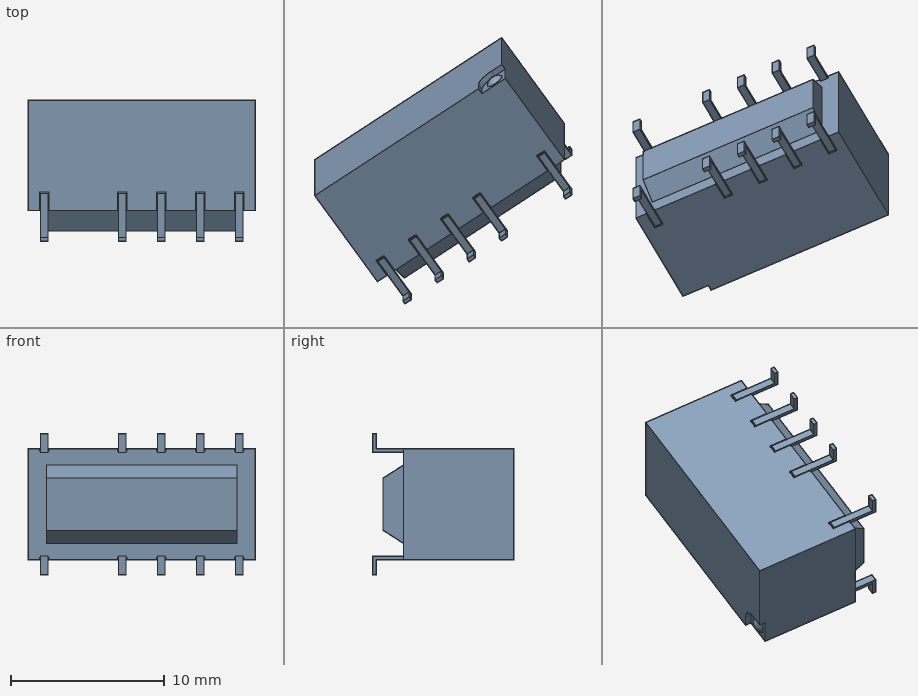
import cadquery as cq

BODY_LENGTH = 14.8
BODY_DEPTH = 7.2
BODY_HEIGHT = 7.25

BAR_LENGTH = 12.4
BAR_PROJECTION = 1.33
BAR_BASE_HEIGHT = 5.1
BAR_FACE_HEIGHT = 3.4

OVERALL_DEPTH = 9.2
OVERALL_HEIGHT = 9.2
PIN_PITCH = 2.54
PIN_GRID_PLACES = (-2.5, -0.5, 0.5, 1.5, 2.5)
PIN_WIDTH = 0.5
PIN_THICKNESS = 0.25
PIN_REACH = OVERALL_DEPTH - BODY_DEPTH
PIN_TIP_Z = OVERALL_HEIGHT / 2

SLOT_SIDE_GAP = 0.05
SLOT_END_GAP = 0.1
SLOT_LENGTH = 1.23
SLOT_DEPTH = 0.15
SLOT_WIDTH = PIN_WIDTH + 2 * SLOT_SIDE_GAP
PIN_EMBEDDED_LENGTH = SLOT_LENGTH - SLOT_END_GAP

NOTCH_SIZE = 1.84
NOTCH_DEPTH = 0.4
NOTCH_RADIUS = 1.0
DOME_HEIGHT = 0.3
DOME_BASE_RADIUS = 0.58

HALF_LENGTH = BODY_LENGTH / 2
HALF_HEIGHT = BODY_HEIGHT / 2


def make_body():
    return cq.Workplane("XY").box(BODY_LENGTH, BODY_DEPTH, BODY_HEIGHT).translate((0, BODY_DEPTH / 2, 0))


def make_bar():
    half_base = BAR_BASE_HEIGHT / 2
    half_face = BAR_FACE_HEIGHT / 2
    return (
        cq.Workplane("YZ")
        .moveTo(0, -half_base)
        .lineTo(-BAR_PROJECTION, -half_face)
        .lineTo(-BAR_PROJECTION, half_face)
        .lineTo(0, half_base)
        .close()
        .extrude(BAR_LENGTH / 2, both=True)
    )


def make_slot(x):
    """Slot in the top face, open at the front face."""
    return (
        cq.Workplane("XY")
        .box(SLOT_WIDTH, SLOT_LENGTH, SLOT_DEPTH, centered=(True, False, False))
        .translate((x, 0, HALF_HEIGHT - SLOT_DEPTH))
    )


def make_pin(x):
    """Terminal flush with the top face, its outer end bent upward."""
    underside = HALF_HEIGHT - PIN_THICKNESS
    return (
        cq.Workplane("YZ")
        .moveTo(PIN_EMBEDDED_LENGTH, underside)
        .lineTo(-PIN_REACH, underside)
        .lineTo(-PIN_REACH, PIN_TIP_Z)
        .lineTo(-PIN_REACH + PIN_THICKNESS, PIN_TIP_Z)
        .lineTo(-PIN_REACH + PIN_THICKNESS, HALF_HEIGHT)
        .lineTo(PIN_EMBEDDED_LENGTH, HALF_HEIGHT)
        .close()
        .extrude(PIN_WIDTH / 2, both=True)
        .translate((x, 0, 0))
    )


def make_notch():
    """Square corner cut through the rear part, rounded at its inner corner."""
    return (
        cq.Workplane("XY")
        .box(NOTCH_SIZE, NOTCH_DEPTH, NOTCH_SIZE, centered=False)
        .edges("|Y and >X and >Z")
        .fillet(NOTCH_RADIUS)
        .translate((-HALF_LENGTH, BODY_DEPTH - NOTCH_DEPTH, -HALF_HEIGHT))
    )


def make_dome():
    """Spherical cap on the notch floor, concentric with the notch's rounded corner."""
    sphere_radius = (DOME_BASE_RADIUS**2 + DOME_HEIGHT**2) / (2 * DOME_HEIGHT)
    centre_offset = NOTCH_SIZE - NOTCH_RADIUS
    sink = sphere_radius - DOME_HEIGHT
    floor_y = BODY_DEPTH - NOTCH_DEPTH
    sphere = cq.Workplane("XY").sphere(sphere_radius).translate((0, -sink, 0))
    cap_limit = cq.Workplane("XY").box(
        2 * sphere_radius, DOME_HEIGHT, 2 * sphere_radius, centered=(True, False, True)
    )
    cap = sphere.intersect(cap_limit)
    return cap.translate((-HALF_LENGTH + centre_offset, floor_y, -HALF_HEIGHT + centre_offset))


result = make_body().union(make_bar()).cut(make_notch()).union(make_dome())

for place in PIN_GRID_PLACES:
    pin_x = place * PIN_PITCH
    upper_slot = make_slot(pin_x)
    upper_pin = make_pin(pin_x)
    result = result.cut(upper_slot).cut(upper_slot.mirror("XY"))
    result = result.union(upper_pin).union(upper_pin.mirror("XY"))